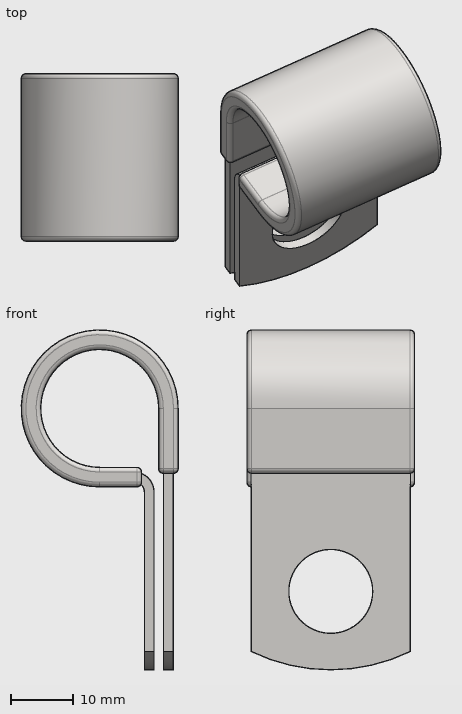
import cadquery as cq
import math


loop_radius = 12.65
cushion_thickness = 3.15
cushion_width = 26.95
edge_radius = 0.75
lower_leg_length = 6.75
side_leg_length = 10.45

strap_thickness = 1.6
strap_width = 25.6
strap_bottom = loop_radius - 54.7
bend_inner_radius = 1.6
near_tab_outer_x = 8.75
end_arc_height = 2.95

hole_diameter = 13.45
hole_z = -29.45

bore_radius = loop_radius - cushion_thickness
strap_inner_radius = loop_radius - (cushion_thickness + strap_thickness) / 2
strap_outer_radius = strap_inner_radius + strap_thickness
bend_outer_radius = bend_inner_radius + strap_thickness
bend_x = near_tab_outer_x - bend_outer_radius
bend_z = -strap_inner_radius - bend_outer_radius
near_tab_inner_x = near_tab_outer_x - strap_thickness
diagonal = math.sqrt(0.5)


def bend_point(radius):
    """Middle of the quarter bend between the loop and the near tab."""
    return (bend_x + radius * diagonal, bend_z + radius * diagonal)


def loop_midpoint(radius):
    """Middle of the three-quarter loop, opposite its opening."""
    return (-radius * diagonal, radius * diagonal)


def extrude_centred(profile, width):
    return profile.close().extrude(width / 2, both=True)


def make_cushion():
    profile = (
        cq.Workplane("XZ")
        .moveTo(lower_leg_length, -loop_radius)
        .lineTo(0, -loop_radius)
        .threePointArc(loop_midpoint(loop_radius), (loop_radius, 0))
        .lineTo(loop_radius, -side_leg_length)
        .lineTo(bore_radius, -side_leg_length)
        .lineTo(bore_radius, 0)
        .threePointArc(loop_midpoint(bore_radius), (0, -bore_radius))
        .lineTo(lower_leg_length, -bore_radius)
    )
    return extrude_centred(profile, cushion_width).edges().fillet(edge_radius)


def make_strap():
    profile = (
        cq.Workplane("XZ")
        .moveTo(near_tab_inner_x, strap_bottom)
        .lineTo(near_tab_inner_x, bend_z)
        .threePointArc(bend_point(bend_inner_radius), (bend_x, bend_z + bend_inner_radius))
        .lineTo(0, -strap_outer_radius)
        .threePointArc(loop_midpoint(strap_outer_radius), (strap_outer_radius, 0))
        .lineTo(strap_outer_radius, strap_bottom)
        .lineTo(strap_inner_radius, strap_bottom)
        .lineTo(strap_inner_radius, 0)
        .threePointArc(loop_midpoint(strap_inner_radius), (0, -strap_inner_radius))
        .lineTo(bend_x, -strap_inner_radius)
        .threePointArc(bend_point(bend_outer_radius), (near_tab_outer_x, bend_z))
        .lineTo(near_tab_outer_x, strap_bottom)
    )
    return extrude_centred(profile, strap_width)


def make_end_outline():
    """Straight-sided block with an arched lower end that trims both tabs."""
    half_width = strap_width / 2
    corner_z = strap_bottom + end_arc_height
    return (
        cq.Workplane("YZ")
        .moveTo(-half_width, loop_radius)
        .lineTo(-half_width, corner_z)
        .threePointArc((0, strap_bottom), (half_width, corner_z))
        .lineTo(half_width, loop_radius)
        .close()
        .extrude(loop_radius, both=True)
    )


def make_bolt_hole():
    return (
        cq.Workplane("YZ")
        .center(0, hole_z)
        .circle(hole_diameter / 2)
        .extrude(loop_radius)
    )


strap = make_strap().intersect(make_end_outline()).cut(make_bolt_hole())
result = make_cushion().union(strap)